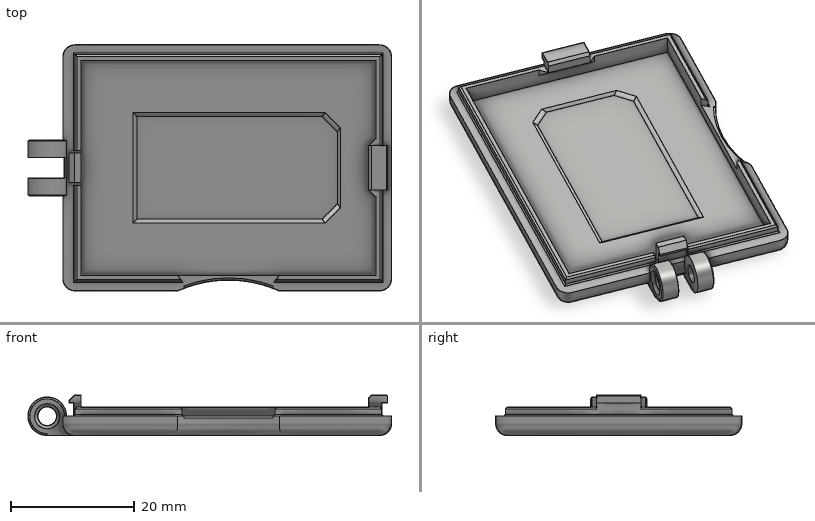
import cadquery as cq

plate_length = 53.4
plate_width = 40.0
rim_z = 3.2
corner_radius = 2.0
underside_radius = 1.95
floor_z = 1.5
half_length = plate_length / 2
half_width = plate_width / 2

lip_top_z = 4.6
lip_inset = 1.6
hinge_side_shift = 0.4
lip_thickness = 0.95
lip_bevel = 0.3
foot_bevel = 0.25
lip_west = -half_length + lip_inset + hinge_side_shift
lip_east = half_length - lip_inset
lip_half_width = half_width - lip_inset
tray_west = lip_west + lip_thickness
tray_east = lip_east - lip_thickness
tray_half_width = lip_half_width - lip_thickness
middle_x = (lip_west + lip_east) / 2

scoop_half_width = 8.3
scoop_depth = 1.8
scoop_bevel = 0.35
scoop_bevel_half_width = 7.2
scoop_radius = (scoop_half_width ** 2 + scoop_depth ** 2) / (2 * scoop_depth)
scoop_centre_y = -half_width + scoop_depth - scoop_radius
lip_gap_inner_half = 8.3
lip_gap_outer_half = 7.4

recess_west = -15.3
recess_east = 18.4
recess_half_width = 9.0
recess_corner = 2.5
recess_depth = 0.5
recess_slope = 0.65
recess_east_slope = 0.5

knuckle_radius = 3.15
pin_diameter = 3.0
knuckle_outer_y = 4.55
knuckle_inner_y = 1.65
knuckle_bevel = 0.3
knuckle_bevel_length = 0.2
countersink = 0.55
overall_length = 59.1
hinge_overhang = overall_length - plate_length
hinge_x = -half_length - hinge_overhang + knuckle_radius
relief_bottom_z = 1.1
relief_bottom_inset = 0.25
relief_top_inset = 0.7

latch_top_z = 6.55
hook_under_z = 5.3
hinge_latch_half_width = 2.4
hinge_latch_face = -half_length + lip_inset + hinge_side_shift - foot_bevel
hinge_hook_reach = 0.75
hinge_hook_nose_z = 5.7
slit_width = 0.4
far_latch_half_width = 3.6
far_latch_depth = 2.1
far_hook_reach = 0.95
far_latch_bevel = 0.5
far_hook_bevel = 0.2


def box(x_min, x_max, y_min, y_max, z_min, z_max):
    size = (x_max - x_min, y_max - y_min, z_max - z_min)
    return cq.Workplane("XY").box(*size, centered=False).translate((x_min, y_min, z_min))


def profile_along_y(points, y_min, y_max):
    """Prism along Y from a list of (x, z) points."""
    return cq.Workplane("XZ", origin=(0, y_max, 0)).polyline(points).close().extrude(y_max - y_min)


def make_plate():
    plate = box(-half_length, half_length, -half_width, half_width, 0, rim_z)
    plate = plate.edges("|Z").fillet(corner_radius)
    scoop = cq.Workplane("XY").center(middle_x, scoop_centre_y).circle(scoop_radius).extrude(rim_z)
    plate = plate.cut(scoop)
    return plate.faces("<Z").edges().fillet(underside_radius)


def make_lip():
    lip = box(lip_west, lip_east, -lip_half_width, lip_half_width, rim_z, lip_top_z)
    lip = lip.faces(">Z").edges().chamfer(lip_bevel)
    foot = (
        cq.Workplane("XY", origin=(middle_x, 0, rim_z))
        .rect(lip_east - lip_west + 2 * foot_bevel, 2 * (lip_half_width + foot_bevel))
        .extrude(foot_bevel, taper=45)
    )
    lip = lip.union(foot)
    foot_y = -lip_half_width - foot_bevel
    gap = (
        cq.Workplane("XY", origin=(middle_x, 0, rim_z))
        .polyline([
            (-lip_gap_inner_half, -tray_half_width),
            (lip_gap_inner_half, -tray_half_width),
            (lip_gap_outer_half, foot_y),
            (-lip_gap_outer_half, foot_y),
        ])
        .close()
        .extrude(lip_top_z - rim_z)
    )
    return lip.cut(gap)


def make_scoop_bevel():
    cone = (
        cq.Workplane("XY", origin=(middle_x, scoop_centre_y, rim_z - scoop_bevel))
        .circle(scoop_radius)
        .workplane(offset=scoop_bevel)
        .circle(scoop_radius + scoop_bevel)
        .loft()
    )
    limit = box(
        middle_x - scoop_bevel_half_width, middle_x + scoop_bevel_half_width,
        -half_width, 0, 0, rim_z,
    )
    return cone.intersect(limit)


def recess_outline(west, east, half):
    return [
        (west, -half),
        (east - recess_corner, -half),
        (east, recess_corner - half),
        (east, half - recess_corner),
        (east - recess_corner, half),
        (west, half),
    ]


def make_recess():
    bottom = recess_outline(
        recess_west + recess_slope, recess_east - recess_east_slope, recess_half_width - recess_slope
    )
    top = recess_outline(recess_west, recess_east, recess_half_width)
    return (
        cq.Workplane("XY", origin=(0, 0, floor_z - recess_depth))
        .polyline(bottom).close()
        .workplane(offset=recess_depth)
        .polyline(top).close()
        .loft(ruled=True)
    )


def make_knuckle(side):
    """One knuckle with its web to the plate; side is +1 or -1 along Y."""
    length = knuckle_outer_y - knuckle_inner_y
    plane = cq.Workplane("XZ", origin=(hinge_x, 0, knuckle_radius))
    barrel = plane.circle(knuckle_radius).extrude(-length)
    barrel = barrel.faces("<Y").edges().chamfer(knuckle_bevel_length, knuckle_bevel)
    web = box(hinge_x, -half_length + corner_radius, 0, length, 0, rim_z)
    pin_hole = plane.circle(pin_diameter / 2).extrude(-length)
    sink = (
        plane.circle(pin_diameter / 2 + countersink)
        .workplane(offset=-countersink)
        .circle(pin_diameter / 2)
        .loft()
    )
    knuckle = barrel.union(web).cut(pin_hole).cut(sink)
    knuckle = knuckle.translate((0, -knuckle_outer_y, 0))
    return knuckle if side < 0 else knuckle.mirror("XZ")


def make_hinge_relief():
    return profile_along_y(
        [
            (hinge_x, relief_bottom_z),
            (-half_length + relief_bottom_inset, relief_bottom_z),
            (-half_length + relief_top_inset, rim_z),
            (hinge_x, rim_z),
        ],
        -knuckle_inner_y, knuckle_inner_y,
    )


def make_hinge_slits():
    outer = hinge_latch_half_width + slit_width
    return box(hinge_latch_face, tray_west, -outer, outer, rim_z, lip_top_z)


def make_hinge_latch():
    tip = hinge_latch_face - hinge_hook_reach
    return profile_along_y(
        [
            (hinge_latch_face, floor_z),
            (hinge_latch_face, hook_under_z),
            (tip, hook_under_z),
            (tip, hinge_hook_nose_z),
            (tip + latch_top_z - hinge_hook_nose_z, latch_top_z),
            (tray_west, latch_top_z),
            (tray_west, floor_z),
        ],
        -hinge_latch_half_width, hinge_latch_half_width,
    )


def make_far_latch():
    inner = lip_east - far_latch_depth
    tip = lip_east + far_hook_reach
    hook = profile_along_y(
        [
            (inner, lip_top_z),
            (inner, latch_top_z - far_latch_bevel),
            (inner + far_latch_bevel, latch_top_z),
            (tip - far_hook_bevel, latch_top_z),
            (tip, latch_top_z - far_hook_bevel),
            (tip, hook_under_z),
            (lip_east, hook_under_z),
            (lip_east, rim_z),
            (tray_east, rim_z),
            (tray_east, lip_top_z),
        ],
        -far_latch_half_width, far_latch_half_width,
    )
    reach = tray_east - inner
    gusset_half_width = far_latch_half_width + reach
    underside = profile_along_y(
        [(tray_east, lip_top_z - reach), (tray_east, lip_top_z), (inner, lip_top_z)],
        -gusset_half_width, gusset_half_width,
    )
    flare = (
        cq.Workplane("XY")
        .polyline([
            (tray_east, -gusset_half_width),
            (tray_east, gusset_half_width),
            (inner, far_latch_half_width),
            (inner, -far_latch_half_width),
        ])
        .close()
        .extrude(latch_top_z)
    )
    return hook.union(underside.intersect(flare))


tray_space = box(tray_west, tray_east, -tray_half_width, tray_half_width, floor_z, lip_top_z)

result = make_plate().union(make_lip()).cut(make_hinge_slits())
for knuckle_side in (-1, 1):
    result = result.union(make_knuckle(knuckle_side))
result = (
    result.cut(tray_space)
    .cut(make_recess())
    .cut(make_scoop_bevel())
    .cut(make_hinge_relief())
    .union(make_hinge_latch())
    .union(make_far_latch())
)